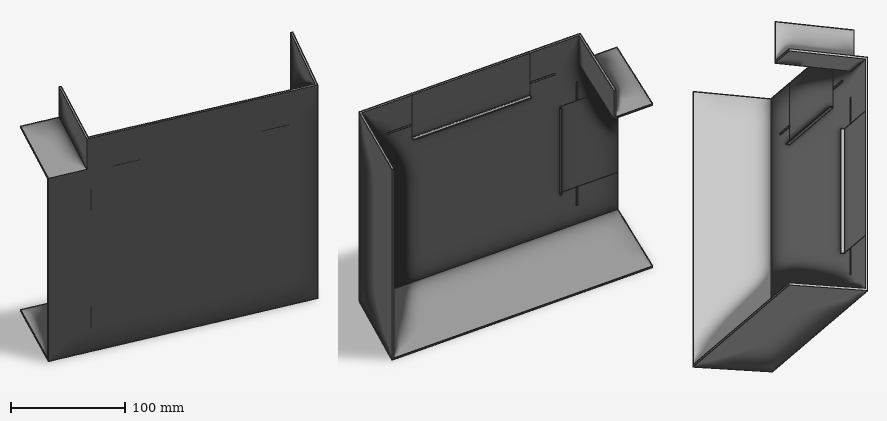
import cadquery as cq

side = 252.5
height = 73.0
half = side / 2
wall = 2.0
wall_lean = 2.5
notch = 35.5

lip_height = 3.0
panel_center = 16.0
panel_width = 114.2
panel_depth = 56.8
panel_recess = 0.13
lip_thickness = 1.0
groove_span = 162.6
groove_distance = 39.7
groove_width = 2.0

floor_x = height - wall
overrun = 2.5


def tray_section(inset, lean, extension):
    """L-shaped outline; inset moves the walls in, extension lengthens the open sides."""
    closed = half - lean - inset
    open_end = half + extension
    step = half - notch - inset
    return [
        (closed, -closed),
        (-open_end, -closed),
        (-open_end, step),
        (-step, step),
        (-step, open_end),
        (closed, open_end),
    ]


def tray_block(depth, inset, extension):
    """Solid from the rim at X = 0 to the given depth, with leaning long walls."""
    lean = wall_lean * depth / height
    return (
        cq.Workplane("YZ")
        .polyline(tray_section(inset, 0, extension)).close()
        .workplane(offset=depth)
        .polyline(tray_section(inset, lean, extension)).close()
        .loft(ruled=True)
    )


def floor_box(thickness, width, depth, x, y, z):
    """Box placed by its lowest X, its middle Y and its lowest Z."""
    box = cq.Workplane("XY").box(thickness, width, depth, centered=(False, True, False))
    return box.translate((x, y, z))


def mirror_to_front(body):
    """Swap the +Z open side with the -Y open side."""
    return body.mirror("XY").rotate((0, 0, 0), (1, 0, 0), -90)


def top_lip():
    return floor_box(
        lip_height + wall / 2, panel_width, lip_thickness,
        floor_x - lip_height, panel_center, half - panel_depth,
    )


def top_grooves():
    """V-grooves on both sides of the panel."""
    length = (groove_span - panel_width) / 2
    center_z = half - groove_distance
    profile = [
        (floor_x, center_z - groove_width / 2),
        (floor_x + groove_width / 2, center_z),
        (floor_x, center_z + groove_width / 2),
    ]
    groove = cq.Workplane("XZ").polyline(profile).close().extrude(-length)
    first = groove.translate((0, panel_center - groove_span / 2, 0))
    second = groove.translate((0, panel_center + panel_width / 2, 0))
    return first, second


def top_recess():
    lip_top = half - panel_depth + lip_thickness
    return floor_box(
        panel_recess + overrun, panel_width, half - lip_top + overrun,
        floor_x - overrun, panel_center, lip_top,
    )


result = tray_block(height, 0, 0).cut(tray_block(floor_x, wall, overrun))

for pocket in (top_recess(), *top_grooves()):
    result = result.cut(pocket).cut(mirror_to_front(pocket))

lip = top_lip()
result = result.union(lip).union(mirror_to_front(lip))